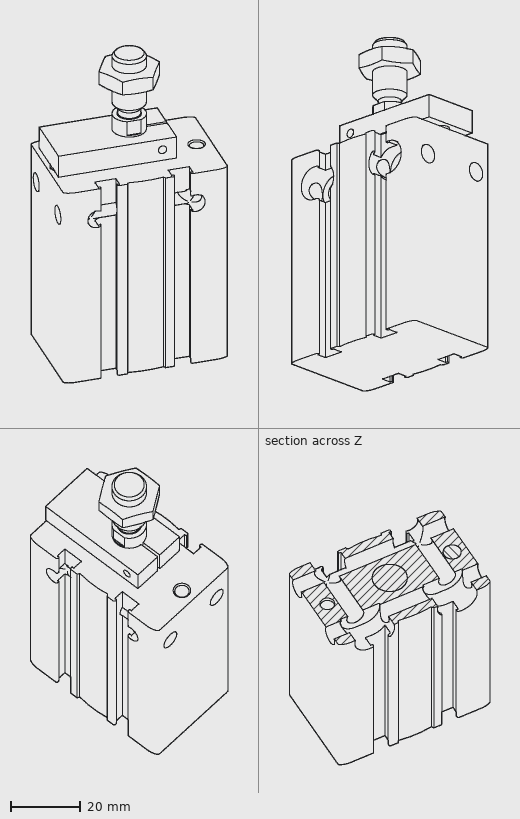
import cadquery as cq
import math

HOUSING_WIDTH = 32.0
HOUSING_DEPTH = 50.0
HOUSING_HEIGHT = 63.05
HALF_WIDTH = HOUSING_WIDTH / 2
HALF_DEPTH = HOUSING_DEPTH / 2
CORNER_LENGTH = 3.5
CORNER_INSET = 0.7
CORNER_ROUND_LENGTH = 0.5
CORNER_ROUND_WIDTH = 0.7

SLOT_Y = 11.2
SLOT_WIDTH = 6.4
SLOT_DEPTH = 4.2
LIP_GAP = 5.0
LIP_THICKNESS = 1.0
LIP_ROUND = 0.5

GROOVE_OUTER_Y = 5.8
GROOVE_WALL_Y = 5.4
STRIP_HALF_WIDTH = 5.0
GROOVE_DEPTH = 0.7
CROWN_INSET = 0.3

MOUNT_HOLE_DIAMETER = 5.5
MOUNT_HOLE_Z = HOUSING_HEIGHT - 10.0
SIDE_HOLE_Y = 15.0
FRONT_HOLE_X = 10.0
COUNTERBORE_DIAMETER = 10.0
COUNTERBORE_STRETCH = 3.0
COUNTERBORE_DEPTH = 9.0

PORT_Y = 20.5
PORT_DIAMETER = 4.2
PORT_MOUTH_DIAMETER = 5.0
PORT_DEPTH = 9.7
DRILL_POINT_ANGLE = 118.0

PLATE_GAP = 1.8
PLATE_THICKNESS = 7.0
PLATE_WIDTH = 17.9
PLATE_FRONT_Y = -24.4
PLATE_BACK_Y = 11.4
PLATE_BOTTOM_Z = HOUSING_HEIGHT + PLATE_GAP
PLATE_TOP_Z = PLATE_BOTTOM_Z + PLATE_THICKNESS
CLAMP_SLIT_WIDTH = 0.9

SCREW_DIAMETER = 2.5
SCREW_Y = 7.2
SCREW_RECESS = 2.5

PIN_DIAMETER = 5.0
PIN_Y = -20.5
PIN_ENGAGEMENT = 19.4
PIN_RECESS_DIAMETER = 7.0
PIN_RECESS_DEPTH = 0.5

TOTAL_HEIGHT = 97.0
ROD_DIAMETER = 10.0
ROD_ENGAGEMENT = 19.4
ROD_NECK_DIAMETER = 6.7
ROD_NECK_FLARE = 0.2
ROD_SHOULDER_Z = HOUSING_HEIGHT + 13.9
ROD_NECK_TOP_Z = HOUSING_HEIGHT + 15.9
ROD_CONE_TOP_Z = HOUSING_HEIGHT + 17.7
ROD_TIP_CHAMFER_HEIGHT = 1.0
ROD_TIP_DIAMETER = 8.6
ROD_FLATS_WIDTH = 9.0
ROD_FLATS_BOTTOM_Z = PLATE_TOP_Z + 0.6

NUT_ACROSS_FLATS = 16.0
NUT_THICKNESS = 5.0
NUT_BOTTOM_Z = HOUSING_HEIGHT + 24.8
NUT_TOP_FACE_DIAMETER = 14.3
NUT_BEVEL_ANGLE = 15.0


def cylinder_z(diameter, bottom, top, y=0):
    """Upright cylinder between two heights, on the plane X = 0."""
    return cq.Workplane("XY", origin=(0, y, bottom)).circle(diameter / 2).extrude(top - bottom)


def cone_z(bottom_diameter, top_diameter, bottom, top, y=0):
    """Upright truncated cone between two heights; the top diameter may be zero."""
    height = top - bottom
    cone = cq.Solid.makeCone(bottom_diameter / 2, top_diameter / 2, height, pnt=cq.Vector(0, y, bottom))
    return cq.Workplane(cone)


def housing_blank():
    """Extrude the plain rounded outline, without slots and grooves."""
    corner_x = HALF_WIDTH - CORNER_INSET
    corner_y = HALF_DEPTH - CORNER_ROUND_LENGTH
    top_x = corner_x - CORNER_ROUND_WIDTH
    side_y = HALF_DEPTH - CORNER_LENGTH
    quarter = (
        cq.Workplane("XY")
        .lineTo(HALF_WIDTH, 0)
        .lineTo(HALF_WIDTH, side_y)
        .tangentArcPoint((corner_x, corner_y), relative=False)
        .tangentArcPoint((top_x, HALF_DEPTH), relative=False)
        .lineTo(0, HALF_DEPTH)
        .close()
        .extrude(HOUSING_HEIGHT)
    )
    half = quarter.union(quarter.mirror("XZ"))
    return half.union(half.mirror("YZ")).clean()


def slot_cutter(side, y):
    """Lipped slot with rounded lip edges, in the face at X = side * HALF_WIDTH."""
    lip_half = LIP_GAP / 2
    mouth_half = lip_half + LIP_ROUND
    slot_half = SLOT_WIDTH / 2
    face_x = side * HALF_WIDTH
    round_x = face_x - side * LIP_ROUND
    lip_x = face_x - side * LIP_THICKNESS
    floor_x = face_x - side * SLOT_DEPTH
    bulge = LIP_ROUND * (1 - math.sqrt(0.5))
    return (
        cq.Workplane("XY")
        .moveTo(face_x, y - mouth_half)
        .threePointArc((face_x - side * bulge, y - lip_half - bulge), (round_x, y - lip_half))
        .lineTo(lip_x, y - lip_half)
        .lineTo(lip_x, y - slot_half)
        .lineTo(floor_x, y - slot_half)
        .lineTo(floor_x, y + slot_half)
        .lineTo(lip_x, y + slot_half)
        .lineTo(lip_x, y + lip_half)
        .lineTo(round_x, y + lip_half)
        .threePointArc((face_x - side * bulge, y + lip_half + bulge), (face_x, y + mouth_half))
        .close()
        .extrude(HOUSING_HEIGHT)
    )


def strip_cutter(side):
    """Material removed beside and above the crowned strip of one side face."""
    face_x = side * HALF_WIDTH
    floor_x = face_x - side * GROOVE_DEPTH
    return (
        cq.Workplane("XY")
        .moveTo(face_x, -GROOVE_OUTER_Y)
        .lineTo(floor_x, -GROOVE_WALL_Y)
        .lineTo(floor_x, -STRIP_HALF_WIDTH)
        .threePointArc((face_x - side * CROWN_INSET, 0), (floor_x, STRIP_HALF_WIDTH))
        .lineTo(floor_x, GROOVE_WALL_Y)
        .lineTo(face_x, GROOVE_OUTER_Y)
        .close()
        .extrude(HOUSING_HEIGHT)
    )


def mounting_hole_cutters():
    """Two holes along X with stretched counterbores on the -X side, and two along Y."""
    cutters = []
    for side in (-1, 1):
        side_plane = cq.Workplane("YZ", origin=(-HALF_WIDTH, 0, MOUNT_HOLE_Z))
        counterbore_y = side * (SIDE_HOLE_Y - COUNTERBORE_STRETCH / 2)
        cutters.append(
            side_plane.center(side * SIDE_HOLE_Y, 0).circle(MOUNT_HOLE_DIAMETER / 2).extrude(HOUSING_WIDTH)
        )
        cutters.append(
            side_plane.center(counterbore_y, 0)
            .slot2D(COUNTERBORE_DIAMETER + COUNTERBORE_STRETCH, COUNTERBORE_DIAMETER)
            .extrude(COUNTERBORE_DEPTH)
        )
        front_plane = cq.Workplane("XZ", origin=(side * FRONT_HOLE_X, HALF_DEPTH, MOUNT_HOLE_Z))
        cutters.append(front_plane.circle(MOUNT_HOLE_DIAMETER / 2).extrude(HOUSING_DEPTH))
    return cutters


def port_cutter():
    """Drilled port with a chamfered mouth and a conical bottom."""
    floor_z = HOUSING_HEIGHT - PORT_DEPTH
    mouth_height = (PORT_MOUTH_DIAMETER - PORT_DIAMETER) / 2
    point_height = PORT_DIAMETER / 2 / math.tan(math.radians(DRILL_POINT_ANGLE / 2))
    bore = cylinder_z(PORT_DIAMETER, floor_z, HOUSING_HEIGHT, PORT_Y)
    mouth = cone_z(PORT_DIAMETER, PORT_MOUTH_DIAMETER, HOUSING_HEIGHT - mouth_height, HOUSING_HEIGHT, PORT_Y)
    point = cone_z(0, PORT_DIAMETER, floor_z - point_height, floor_z, PORT_Y)
    return bore.union(mouth).union(point)


def pin_hole_cutter():
    """Blind hole for the guide pin, with a shallow recess around its mouth."""
    bore = cylinder_z(PIN_DIAMETER, HOUSING_HEIGHT - PIN_ENGAGEMENT, HOUSING_HEIGHT, PIN_Y)
    recess = cylinder_z(PIN_RECESS_DIAMETER, HOUSING_HEIGHT - PIN_RECESS_DEPTH, HOUSING_HEIGHT, PIN_Y)
    return bore.union(recess)


def make_housing():
    housing = housing_blank()
    for side in (-1, 1):
        housing = housing.cut(strip_cutter(side))
        for y in (-SLOT_Y, SLOT_Y):
            housing = housing.cut(slot_cutter(side, y))
    for cutter in mounting_hole_cutters():
        housing = housing.cut(cutter)
    rod_bore = cylinder_z(ROD_DIAMETER, HOUSING_HEIGHT - ROD_ENGAGEMENT, HOUSING_HEIGHT)
    return housing.cut(port_cutter()).cut(pin_hole_cutter()).cut(rod_bore)


def make_clamp_plate():
    """Block with a rod bore, a slit from the bore to the back, and a cross hole for the screw."""
    length = PLATE_BACK_Y - PLATE_FRONT_Y
    plate = (
        cq.Workplane("XY", origin=(0, (PLATE_FRONT_Y + PLATE_BACK_Y) / 2, PLATE_BOTTOM_Z))
        .rect(PLATE_WIDTH, length)
        .extrude(PLATE_THICKNESS)
    )
    slit = (
        cq.Workplane("XY", origin=(0, PLATE_BACK_Y / 2, PLATE_BOTTOM_Z))
        .rect(CLAMP_SLIT_WIDTH, PLATE_BACK_Y)
        .extrude(PLATE_THICKNESS)
    )
    rod_bore = cylinder_z(ROD_DIAMETER, PLATE_BOTTOM_Z, PLATE_TOP_Z)
    return plate.cut(slit).cut(rod_bore).cut(screw_cylinder(0))


def screw_cylinder(recess):
    """Cylinder across the plate, starting below the -X side and ending flush with the +X side."""
    start_x = -PLATE_WIDTH / 2 + recess
    center_z = PLATE_BOTTOM_Z + PLATE_THICKNESS / 2
    return (
        cq.Workplane("YZ", origin=(start_x, SCREW_Y, center_z))
        .circle(SCREW_DIAMETER / 2)
        .extrude(PLATE_WIDTH - recess)
    )


def make_clamp_screw():
    return screw_cylinder(SCREW_RECESS)


def make_guide_pin():
    """Plain pin between the housing and the underside of the plate."""
    return cylinder_z(PIN_DIAMETER, HOUSING_HEIGHT - PIN_ENGAGEMENT, PLATE_BOTTOM_Z, PIN_Y)


def make_rod():
    """Stepped rod with a neck, two wrench flats and a chamfered tip."""
    radius = ROD_DIAMETER / 2
    neck_radius = ROD_NECK_DIAMETER / 2
    bottom_z = HOUSING_HEIGHT - ROD_ENGAGEMENT
    profile = [
        (0, bottom_z),
        (radius, bottom_z),
        (radius, ROD_SHOULDER_Z),
        (neck_radius + ROD_NECK_FLARE, ROD_SHOULDER_Z),
        (neck_radius, ROD_SHOULDER_Z + ROD_NECK_FLARE),
        (neck_radius, ROD_NECK_TOP_Z),
        (radius, ROD_CONE_TOP_Z),
        (radius, TOTAL_HEIGHT - ROD_TIP_CHAMFER_HEIGHT),
        (ROD_TIP_DIAMETER / 2, TOTAL_HEIGHT),
        (0, TOTAL_HEIGHT),
    ]
    rod = cq.Workplane("XZ").polyline(profile).close().revolve(360, (0, 0, 0), (0, 1, 0))
    flats_height = ROD_SHOULDER_Z - ROD_FLATS_BOTTOM_Z
    flats = (
        cq.Workplane("XY", origin=(0, 0, ROD_FLATS_BOTTOM_Z))
        .rect(2 * ROD_DIAMETER, 2 * ROD_DIAMETER)
        .rect(ROD_FLATS_WIDTH, 2 * ROD_DIAMETER)
        .extrude(flats_height)
    )
    return rod.cut(flats)


def make_nut():
    """Hexagon with corners on the Y axis, trimmed by a shallow cone at each end."""
    corner_radius = NUT_ACROSS_FLATS / math.sqrt(3)
    slope = math.tan(math.radians(NUT_BEVEL_ANGLE))
    top_radius = NUT_TOP_FACE_DIAMETER / 2
    bottom_radius = NUT_ACROSS_FLATS / 2
    top_z = NUT_BOTTOM_Z + NUT_THICKNESS
    hexagon = (
        cq.Workplane("XY", origin=(0, 0, NUT_BOTTOM_Z))
        .transformed(rotate=(0, 0, 90))
        .polygon(6, 2 * corner_radius)
        .extrude(NUT_THICKNESS)
    )
    bevel_profile = [
        (0, NUT_BOTTOM_Z),
        (bottom_radius, NUT_BOTTOM_Z),
        (corner_radius, NUT_BOTTOM_Z + (corner_radius - bottom_radius) * slope),
        (corner_radius, top_z - (corner_radius - top_radius) * slope),
        (top_radius, top_z),
        (0, top_z),
    ]
    bevels = cq.Workplane("XZ").polyline(bevel_profile).close().revolve(360, (0, 0, 0), (0, 1, 0))
    rod_bore = cylinder_z(ROD_DIAMETER, NUT_BOTTOM_Z, top_z)
    return hexagon.intersect(bevels).cut(rod_bore)


housing = make_housing()
clamp_plate = make_clamp_plate()
clamp_screw = make_clamp_screw()
guide_pin = make_guide_pin()
rod = make_rod()
nut = make_nut()

result = cq.Compound.makeCompound(
    [
        housing.val(),
        clamp_plate.val(),
        clamp_screw.val(),
        guide_pin.val(),
        rod.val(),
        nut.val(),
    ]
)